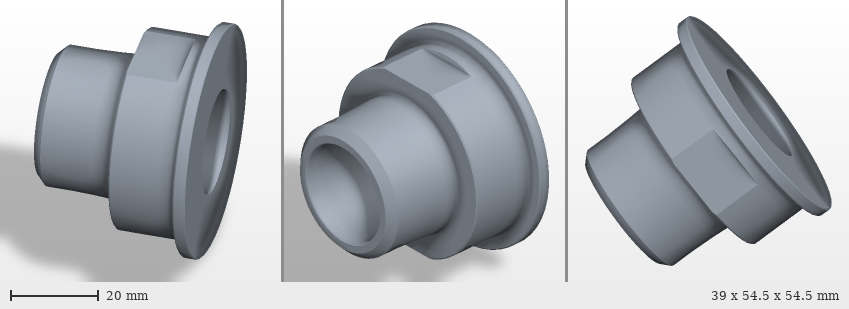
import cadquery as cq

total_length = 39.0
bore_diameter = 24.5
flange_diameter = 54.5
flange_thickness = 2.95
body_diameter = 47.0
shoulder_x = 19.95

spigot_tip_radius = 16.4
spigot_middle_radius = 16.45
spigot_root_radius = 16.95
tip_chamfer = 2.0

spigot_fillet = 0.75
flange_fillet = 0.85
edge_chamfer = 0.3
flange_back_chamfer = 0.2
bore_chamfer = 0.25

flat_height = 21.95
flat_end_x = 32.05
flat_wall_slope_run = 0.4

bore_radius = bore_diameter / 2
body_radius = body_diameter / 2
flange_radius = flange_diameter / 2
flange_x = total_length - flange_thickness
flare_end_x = shoulder_x - spigot_fillet
flare_middle_x = (tip_chamfer + flare_end_x) / 2


def turned_body():
    """Revolve the half section, drawn as X and radius, around the X axis."""
    section = (
        cq.Workplane("XY")
        .moveTo(0, bore_radius + bore_chamfer)
        .lineTo(0, spigot_tip_radius - tip_chamfer)
        .lineTo(tip_chamfer, spigot_tip_radius)
        .threePointArc((flare_middle_x, spigot_middle_radius), (flare_end_x, spigot_root_radius))
        .radiusArc((shoulder_x, spigot_root_radius + spigot_fillet), -spigot_fillet)
        .lineTo(shoulder_x, body_radius - edge_chamfer)
        .lineTo(shoulder_x + edge_chamfer, body_radius)
        .lineTo(flange_x - flange_fillet, body_radius)
        .radiusArc((flange_x, body_radius + flange_fillet), -flange_fillet)
        .lineTo(flange_x, flange_radius - edge_chamfer)
        .lineTo(flange_x + edge_chamfer, flange_radius)
        .lineTo(total_length - flange_back_chamfer, flange_radius)
        .lineTo(total_length, flange_radius - flange_back_chamfer)
        .lineTo(total_length, bore_radius)
        .lineTo(bore_chamfer, bore_radius)
        .close()
    )
    return section.revolve(360, (0, 0, 0), (1, 0, 0))


def flat_cutter():
    """Block that cuts the top flat and leaves a slightly sloped end wall."""
    outline = [
        (shoulder_x, flat_height),
        (flat_end_x, flat_height),
        (flat_end_x + flat_wall_slope_run, body_radius),
        (shoulder_x, body_radius),
    ]
    return cq.Workplane("XZ").polyline(outline).close().extrude(body_radius, both=True)


result = turned_body()
top_flat = flat_cutter()
for cutter in (top_flat, top_flat.mirror("XY")):
    result = result.cut(cutter)